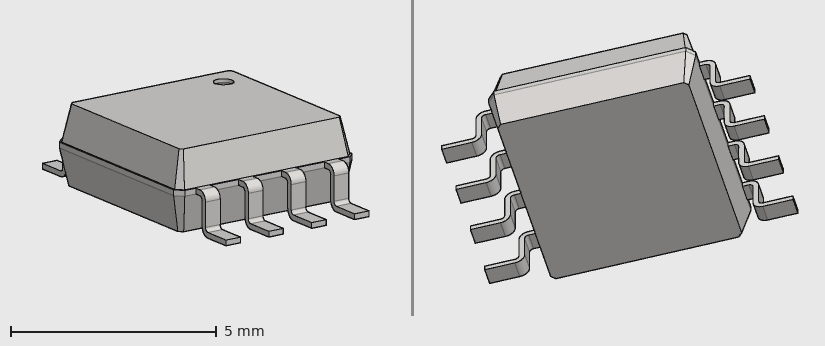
import cadquery as cq

overall_length = 7.8
overall_height = 2.11

body_length = 5.24
body_width = 5.3
standoff = 0.02
band_corner = 0.195
ledge = 0.05
upper_base_corner = 0.17
top_inset = 0.26
top_corner = 0.08
bottom_inset = 0.2
bottom_corner = 0.1

mark_diameter = 0.5
mark_edge_distance = 0.7
mark_depth = 0.1

leads_per_side = 4
lead_pitch = 1.27
lead_width = 0.44
lead_thickness = 0.15
foot_length = 0.765
inner_bend = 0.1
lead_top = 1.15
lead_embed = 0.235

outer_bend = inner_bend + lead_thickness
lead_bottom = lead_top - lead_thickness


def body_section(z, inset, corner):
    """Wire of the body outline at height z, moved in by inset, with corners cut off."""
    half_x = body_length / 2 - inset
    half_y = body_width / 2 - inset
    points = []
    for side_x, side_y in [(1, 1), (-1, 1), (-1, -1), (1, -1)]:
        on_x_side = (side_x * half_x, side_y * (half_y - corner), z)
        on_y_side = (side_x * (half_x - corner), side_y * half_y, z)
        if side_x == side_y:
            points += [on_x_side, on_y_side]
        else:
            points += [on_y_side, on_x_side]
    return cq.Wire.makePolygon([cq.Vector(*p) for p in points], close=True)


def body_layer(lower_section, upper_section):
    """Solid with flat sides between two body outlines."""
    return cq.Workplane(cq.Solid.makeLoft([lower_section, upper_section], True))


def make_body():
    """Tapered lower half, straight parting band and stepped-in tapered upper half."""
    band_bottom = body_section(lead_bottom, 0, band_corner)
    band_top = body_section(lead_top, 0, band_corner)
    underside = body_section(standoff, bottom_inset, bottom_corner)
    upper_base = body_section(lead_top, ledge, upper_base_corner)
    top = body_section(overall_height, top_inset, top_corner)
    lower_half = body_layer(underside, band_bottom)
    band = body_layer(band_bottom, band_top)
    upper_half = body_layer(upper_base, top)
    return lower_half.union(band).union(upper_half)


def make_mark():
    """Shallow round recess in the corner of the top face."""
    mark_x = -(body_length / 2 - top_inset - mark_edge_distance)
    mark_y = body_width / 2 - top_inset - mark_edge_distance
    return (
        cq.Workplane("XY", origin=(mark_x, mark_y, overall_height - mark_depth))
        .circle(mark_diameter / 2)
        .extrude(mark_depth)
    )


def make_lead():
    """Gull-wing lead on the -X side, centred on Y = 0."""
    tip = -overall_length / 2
    foot_end = tip + foot_length
    wall_outer = foot_end + inner_bend
    wall_inner = wall_outer + lead_thickness
    shoulder = wall_inner + inner_bend
    inside_body = -body_length / 2 + lead_embed
    return (
        cq.Workplane("XZ")
        .moveTo(tip, 0)
        .lineTo(foot_end, 0)
        .radiusArc((wall_inner, outer_bend), -outer_bend)
        .lineTo(wall_inner, lead_bottom - inner_bend)
        .radiusArc((shoulder, lead_bottom), inner_bend)
        .lineTo(inside_body, lead_bottom)
        .lineTo(inside_body, lead_top)
        .lineTo(shoulder, lead_top)
        .radiusArc((wall_outer, lead_top - outer_bend), -outer_bend)
        .lineTo(wall_outer, outer_bend)
        .radiusArc((foot_end, lead_thickness), inner_bend)
        .lineTo(tip, lead_thickness)
        .close()
        .extrude(lead_width / 2, both=True)
    )


result = make_body().cut(make_mark())

left_lead = make_lead()
right_lead = left_lead.mirror("YZ")
for index in range(leads_per_side):
    lead_y = (index - (leads_per_side - 1) / 2) * lead_pitch
    for lead in (left_lead, right_lead):
        result = result.union(lead.translate((0, lead_y, 0)))